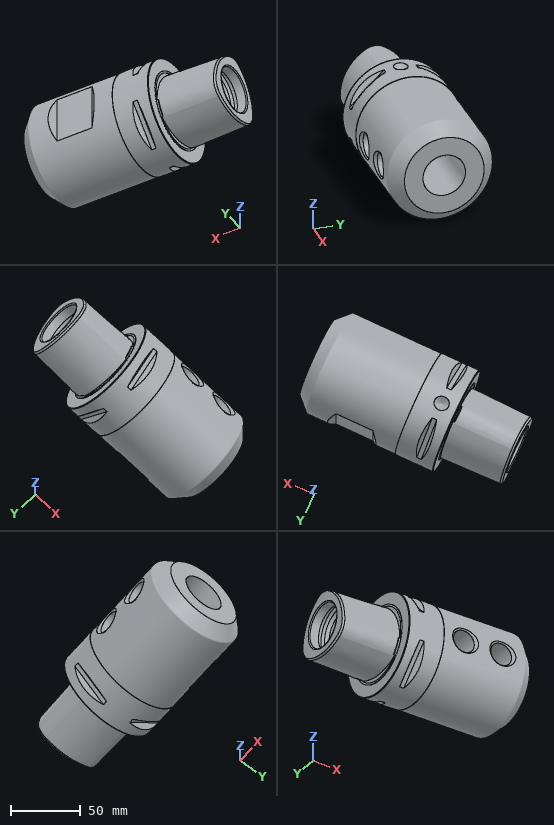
import cadquery as cq
import math

SHANK_TAPER_END = 46.0
FLANGE_FACE = 48.0
GRIP_X = 60.0
FLANGE_END = 78.0
TOTAL_LENGTH = 158.0

LOBE_WIDTH = 55.0
LOBE_REACH = 29.5
SHANK_TAPER_ANGLE = math.degrees(math.atan(1 / 40))
TIP_CHAMFER_LENGTH = 1.6
TIP_CHAMFER_ANGLE = 30.0

RELIEF_START = 46.5
RELIEF_END = 48.9
RELIEF_PITCH_RADIUS = 29.5
RELIEF_WIDTH = 1.5

FLANGE_DIAMETER = 80.0
FLANGE_CHAMFER = 0.5
BODY_DIAMETER = 79.5
NOSE_DIAMETER = 60.0
NOSE_FILLET = 1.25

GRIP_ANGLES = (45, 135, 225, 315)
GRIP_FLOOR_RADIUS = 35.5
GRIP_FLOOR_WIDTH = 3.5
GRIP_WALL_ANGLE = 30.0
DIMPLE_DEPTH = 5.5
DIMPLE_CONE_ANGLE = 90.0

LIP_DIAMETER = 35.0
LIP_CHAMFER = 0.9
LIP_LENGTH = 8.2
CLAMP_GROOVE_DIAMETER = 40.0
CLAMP_GROOVE_END = 11.9
CLAMP_ROUNDING = 1.5
CLAMP_CONE_END = 16.0
CLAMP_BORE_DIAMETER = 31.0
CLAMP_BORE_DEPTH = 48.0

SCREW_HOLE_DIAMETER = 17.84
AXIAL_HOLE_CHAMFER = 0.9
SIDE_HOLE_POSITIONS = (96.4, 128.4)
SIDE_HOLE_CHAMFER = 2.2

TOOL_BORE_DIAMETER = 32.0
TOOL_BORE_START = 90.0

NOTCH_CENTER_X = 112.4
NOTCH_FLOOR_LENGTH = 29.0
NOTCH_FLOOR_Y = 35.0

MARGIN = 1.0


def cylinder_along_x(diameter, x_start, x_end):
    circle = cq.Workplane("YZ", origin=(x_start, 0, 0)).circle(diameter / 2)
    return circle.extrude(x_end - x_start)


def lobe_profile(x, inset):
    """Rounded Reuleaux triangle of constant width, one lobe toward +Z, moved inward by inset."""
    lobe_offset = (2 * LOBE_REACH - LOBE_WIDTH) / (2 - math.sqrt(3))
    tip_radius = LOBE_REACH - lobe_offset - inset
    flank_radius = lobe_offset * math.sqrt(3) + tip_radius

    def point(lobe_angle, radius, direction):
        lobe = math.radians(lobe_angle)
        heading = math.radians(direction)
        return (
            lobe_offset * math.cos(lobe) + radius * math.cos(heading),
            lobe_offset * math.sin(lobe) + radius * math.sin(heading),
        )

    profile = cq.Workplane("YZ", origin=(x, 0, 0)).moveTo(*point(90, tip_radius, 60))
    for lobe_angle in (90, 210, 330):
        opposite_lobe = lobe_angle + 240
        flank_middle = lobe_angle + 60
        profile = profile.threePointArc(
            point(lobe_angle, tip_radius, lobe_angle),
            point(lobe_angle, tip_radius, lobe_angle + 30),
        )
        profile = profile.threePointArc(
            point(opposite_lobe, flank_radius, flank_middle),
            point(opposite_lobe, flank_radius, flank_middle + 30),
        )
    return profile.close()


def make_shank():
    neck = lobe_profile(SHANK_TAPER_END, 0).extrude(FLANGE_FACE - SHANK_TAPER_END)
    taper_length = SHANK_TAPER_END - TIP_CHAMFER_LENGTH
    taper = lobe_profile(SHANK_TAPER_END, 0).extrude(-taper_length, taper=SHANK_TAPER_ANGLE)
    chamfer_inset = taper_length * math.tan(math.radians(SHANK_TAPER_ANGLE))
    tip_profile = lobe_profile(TIP_CHAMFER_LENGTH, chamfer_inset)
    tip = tip_profile.extrude(-TIP_CHAMFER_LENGTH, taper=TIP_CHAMFER_ANGLE)
    return neck.union(taper).union(tip)


def make_flange():
    flange = cylinder_along_x(FLANGE_DIAMETER, FLANGE_FACE, FLANGE_END)
    return flange.faces("<X").chamfer(FLANGE_CHAMFER)


def make_body():
    body = cylinder_along_x(BODY_DIAMETER, FLANGE_END, TOTAL_LENGTH)
    nose_length = (BODY_DIAMETER - NOSE_DIAMETER) / 2
    body = body.faces(">X").chamfer(nose_length)
    nose_corner = cq.selectors.BoxSelector(
        (TOTAL_LENGTH - nose_length - MARGIN, -BODY_DIAMETER, -BODY_DIAMETER),
        (TOTAL_LENGTH - nose_length + MARGIN, BODY_DIAMETER, BODY_DIAMETER),
        boundingbox=True,
    )
    return body.edges(nose_corner).fillet(NOSE_FILLET)


def relief_groove():
    middle = (RELIEF_START + RELIEF_END) / 2
    section = cq.Workplane("XY", origin=(middle, RELIEF_PITCH_RADIUS, 0)).slot2D(
        RELIEF_END - RELIEF_START, RELIEF_WIDTH
    )
    return section.revolve(360, (0, -RELIEF_PITCH_RADIUS, 0), (1, -RELIEF_PITCH_RADIUS, 0))


def grip_slot(angle):
    """Chordal slot across the flange, with sloping walls, turned by angle about X."""
    depth = FLANGE_DIAMETER / 2 - GRIP_FLOOR_RADIUS + MARGIN
    floor_half = GRIP_FLOOR_WIDTH / 2
    mouth_half = floor_half + depth * math.tan(math.radians(GRIP_WALL_ANGLE))
    section = cq.Workplane("XZ", origin=(GRIP_X, 0, GRIP_FLOOR_RADIUS)).polyline(
        [(-floor_half, 0), (floor_half, 0), (mouth_half, depth), (-mouth_half, depth)]
    )
    slot = section.close().extrude(FLANGE_DIAMETER / 2, both=True)
    return slot.rotate((0, 0, 0), (1, 0, 0), angle)


def dimple():
    radius = DIMPLE_DEPTH * math.tan(math.radians(DIMPLE_CONE_ANGLE / 2))
    apex = cq.Vector(GRIP_X, 0, FLANGE_DIAMETER / 2 - DIMPLE_DEPTH)
    return cq.Workplane(cq.Solid.makeCone(0, radius, DIMPLE_DEPTH, apex, cq.Vector(0, 0, 1)))


def clamping_bore():
    lip = LIP_DIAMETER / 2
    groove = CLAMP_GROOVE_DIAMETER / 2
    bore = CLAMP_BORE_DIAMETER / 2
    cone_start = CLAMP_GROOVE_END + CLAMP_ROUNDING
    arc_rise = CLAMP_ROUNDING * math.sqrt(0.5)
    arc_middle = (cone_start - arc_rise, lip + CLAMP_ROUNDING - arc_rise)
    profile = cq.Workplane("XY").polyline([
        (0, 0),
        (0, lip + LIP_CHAMFER),
        (LIP_CHAMFER, lip),
        (LIP_LENGTH, lip),
        (LIP_LENGTH, groove),
        (CLAMP_GROOVE_END, groove),
        (CLAMP_GROOVE_END, lip + CLAMP_ROUNDING),
    ])
    profile = profile.threePointArc(arc_middle, (cone_start, lip))
    profile = profile.lineTo(CLAMP_CONE_END, bore)
    profile = profile.lineTo(CLAMP_BORE_DEPTH, bore)
    profile = profile.lineTo(CLAMP_BORE_DEPTH, 0)
    return profile.close().revolve(360, (0, 0, 0), (1, 0, 0))


def axial_hole():
    hole = SCREW_HOLE_DIAMETER / 2
    profile = cq.Workplane("XY").polyline([
        (CLAMP_BORE_DEPTH, 0),
        (CLAMP_BORE_DEPTH, hole + AXIAL_HOLE_CHAMFER),
        (CLAMP_BORE_DEPTH + AXIAL_HOLE_CHAMFER, hole),
        (TOOL_BORE_START, hole),
        (TOOL_BORE_START, 0),
    ])
    return profile.close().revolve(360, (0, 0, 0), (1, 0, 0))


def side_hole(x):
    """Countersunk screw hole from the -Y side to the axis."""
    hole = SCREW_HOLE_DIAMETER / 2
    surface = BODY_DIAMETER / 2
    profile = cq.Workplane("XY").polyline([
        (0, -surface),
        (hole + SIDE_HOLE_CHAMFER, -surface),
        (hole, -surface + SIDE_HOLE_CHAMFER),
        (hole, 0),
        (0, 0),
    ])
    return profile.close().revolve(360, (0, 0, 0), (0, 1, 0)).translate((x, 0, 0))


def notch():
    depth = BODY_DIAMETER / 2 + MARGIN - NOTCH_FLOOR_Y
    floor_half = NOTCH_FLOOR_LENGTH / 2
    mouth_half = floor_half + depth
    section = cq.Workplane("XY", origin=(NOTCH_CENTER_X, NOTCH_FLOOR_Y, 0)).polyline(
        [(-floor_half, 0), (floor_half, 0), (mouth_half, depth), (-mouth_half, depth)]
    )
    return section.close().extrude(BODY_DIAMETER / 2, both=True)


result = make_shank().union(make_flange()).union(make_body())
result = result.cut(relief_groove()).cut(dimple()).cut(notch())
for grip_angle in GRIP_ANGLES:
    result = result.cut(grip_slot(grip_angle))
result = result.cut(clamping_bore()).cut(axial_hole())
result = result.cut(cylinder_along_x(TOOL_BORE_DIAMETER, TOOL_BORE_START, TOTAL_LENGTH))
for hole_x in SIDE_HOLE_POSITIONS:
    result = result.cut(side_hole(hole_x))